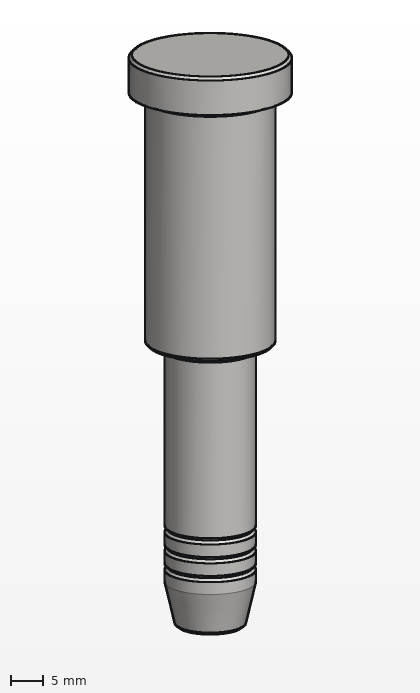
import cadquery as cq

total_length = 91.0
head_diameter = 25.0
head_height = 6.0
body_diameter = 20.0
body_length = 40.0
shank_diameter = 14.0
relief_diameter = 13.0
relief_length = 1.0
edge_chamfer = 0.5

groove_depth = 0.5
groove_width = 2 * groove_depth
groove_count = 3
groove_pitch = 3.0
lowest_groove_height = 9.5

taper_length = 7.0
tip_diameter = 10.7

head_bottom = total_length - head_height
body_bottom = head_bottom - body_length
relief_bottom = body_bottom - relief_length


def cylinder(diameter, bottom, top):
    """Solid cylinder between two heights on the Z axis."""
    return cq.Workplane("XY").workplane(offset=bottom).circle(diameter / 2).extrude(top - bottom)


def v_groove(diameter, center_height):
    """Ring that cuts a V groove into a cylinder of the given diameter."""
    radius = diameter / 2
    half_width = groove_width / 2
    return (
        cq.Workplane("XZ")
        .moveTo(radius - groove_depth, center_height)
        .lineTo(radius, center_height + half_width)
        .lineTo(radius, center_height - half_width)
        .close()
        .revolve(360, (0, 0, 0), (0, 1, 0))
    )


head = cylinder(head_diameter, head_bottom, total_length).faces(">Z").chamfer(edge_chamfer)
body = cylinder(body_diameter, body_bottom, head_bottom).faces("<Z").chamfer(edge_chamfer)
body = body.cut(v_groove(body_diameter, head_bottom - groove_width / 2))
relief = cylinder(relief_diameter, relief_bottom, body_bottom)
shank = cylinder(shank_diameter, taper_length, relief_bottom)

for index in range(groove_count):
    shank = shank.cut(v_groove(shank_diameter, lowest_groove_height + index * groove_pitch))

lead_in = (
    cq.Workplane("XY")
    .circle(tip_diameter / 2)
    .workplane(offset=taper_length)
    .circle(shank_diameter / 2)
    .loft(ruled=True)
    .faces("<Z")
    .chamfer(edge_chamfer)
)

result = head.union(body).union(relief).union(shank).union(lead_in)